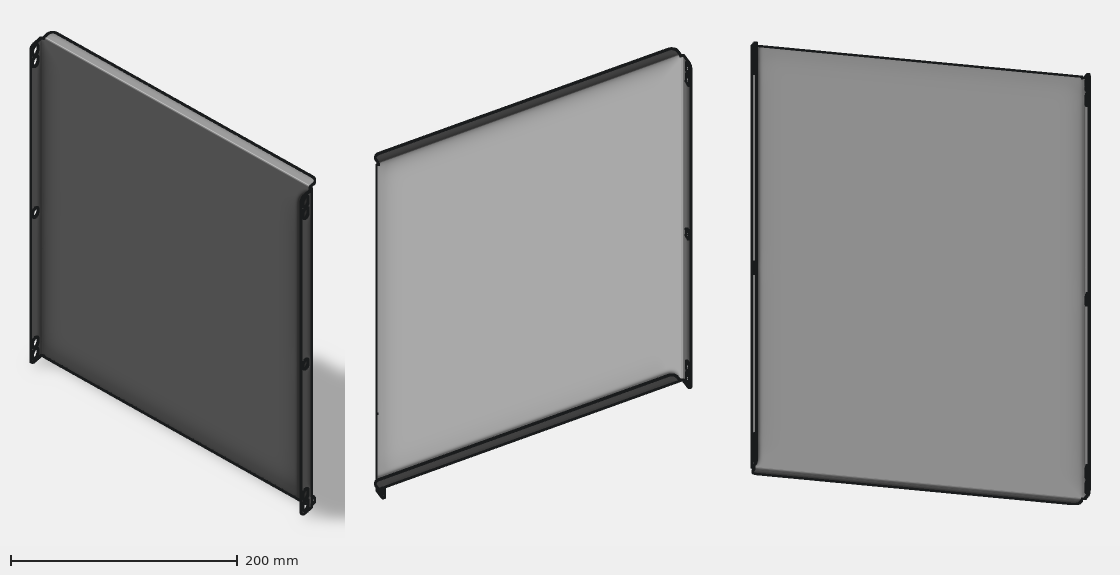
import cadquery as cq

width = 306.0
depth = 26.5
height = 398.0

thickness = 1.0
bend_outer_radius = 2.0
bend_inner_radius = bend_outer_radius - thickness

side_flange_depth = 16.0
side_flange_end_gap = 1.5
side_flange_corner = 4.8
end_flange_side_gap = 2.8
end_flange_corner = 6.0

slot_width = 7.0
slot_length = 12.5
slot_edge_distance = 6.5
slot_end_distance = 10.5
slot_pitch = 14.0
middle_slot_drop = 13.0
middle_slot_length = 11.0

front_y = -depth / 2
back_y = depth / 2
panel_back_y = front_y + side_flange_depth
panel_front_y = panel_back_y - thickness
side_flange_height = height - 2 * side_flange_end_gap
end_flange_width = width - 2 * end_flange_side_gap


def channel(span, length, flange_depth):
    """U-shaped sheet with its web back on Y = 0, flanges to -Y, length along Z."""
    outer = (
        cq.Workplane("XY")
        .rect(span, 2 * flange_depth)
        .extrude(length / 2, both=True)
        .edges("|Z and >Y")
        .fillet(bend_outer_radius)
    )
    inner = (
        cq.Workplane("XY")
        .rect(span - 2 * thickness, 2 * (flange_depth - thickness))
        .extrude(length / 2, both=True)
        .edges("|Z and >Y")
        .fillet(bend_inner_radius)
    )
    open_half = cq.Workplane("XY").box(span, flange_depth, length).translate((0, flange_depth / 2, 0))
    return outer.cut(inner).intersect(open_half).translate((0, -flange_depth, 0))


def side_channel():
    """Panel with both side flanges, outer flange corners rounded."""
    body = channel(width, side_flange_height, side_flange_depth)
    body = body.faces("<Y").edges("|X").fillet(side_flange_corner)
    return body.translate((0, panel_back_y, 0))


def end_channel():
    """Panel with top and bottom flanges, outer flange corners rounded."""
    flange_depth = back_y - panel_front_y
    body = channel(height, end_flange_width, flange_depth)
    body = body.faces("<Y").edges("|X").fillet(end_flange_corner)
    body = body.rotate((0, 0, 0), (0, 0, 1), 180).rotate((0, 0, 0), (0, 1, 0), 90)
    return body.translate((0, panel_front_y, 0))


def side_slots(length, heights):
    """Vertical slot cutters through both side flanges."""
    slot_y = front_y + slot_edge_distance
    return (
        cq.Workplane("YZ")
        .pushPoints([(slot_y, z) for z in heights])
        .slot2D(length, slot_width, 90)
        .extrude(width, both=True)
    )


outer_slot_z = height / 2 - slot_end_distance
inner_slot_z = outer_slot_z - slot_pitch
end_slot_heights = [outer_slot_z, inner_slot_z, -inner_slot_z, -outer_slot_z]

web_clearance = (
    cq.Workplane("XY")
    .box(end_flange_width, 2 * depth, height)
    .cut(cq.Workplane("XY").box(end_flange_width, 2 * depth, height - 2 * bend_outer_radius))
)
result = (
    side_channel()
    .cut(web_clearance)
    .union(end_channel())
    .cut(side_slots(slot_length, end_slot_heights))
    .cut(side_slots(middle_slot_length, [-middle_slot_drop]))
)